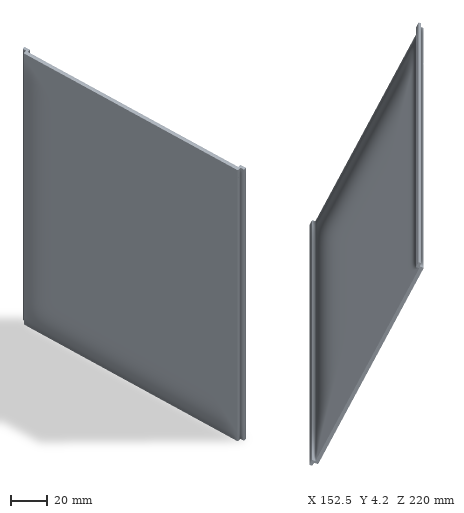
import cadquery as cq

height = 220.0
width = 152.5
depth = 4.2

panel_thickness = 2.2
lip_thickness = 1.8
lip_overhang = 2.5
wall_thickness = 1.3
outer_corner_radius = 0.5
lip_edge_radius = 0.7

half_width = width / 2
front_y = -depth / 2
back_y = depth / 2
panel_back_y = front_y + panel_thickness
lip_front_y = back_y - lip_thickness
wall_outer_x = half_width - lip_overhang
wall_inner_x = wall_outer_x - wall_thickness


def make_tray():
    """Extrude the right half of the section upward, then mirror it."""
    half = (
        cq.Workplane("XY", origin=(0, 0, -height / 2))
        .moveTo(0, front_y)
        .lineTo(wall_outer_x, front_y)
        .lineTo(wall_outer_x, lip_front_y)
        .lineTo(half_width, lip_front_y)
        .lineTo(half_width, back_y)
        .lineTo(wall_inner_x, back_y)
        .lineTo(wall_inner_x, panel_back_y)
        .lineTo(0, panel_back_y)
        .close()
        .extrude(height)
    )
    return half.union(half.mirror("YZ")).clean()


def round_vertical_edges(body, x, y, radius):
    """Round the pair of full-height edges at (+x, y) and (-x, y)."""
    for side in (-1, 1):
        corner = cq.selectors.NearestToPointSelector((side * x, y, 0))
        body = body.edges(corner).fillet(radius)
    return body


result = make_tray()
result = round_vertical_edges(result, wall_outer_x, front_y, outer_corner_radius)
result = round_vertical_edges(result, half_width, lip_front_y, lip_edge_radius)